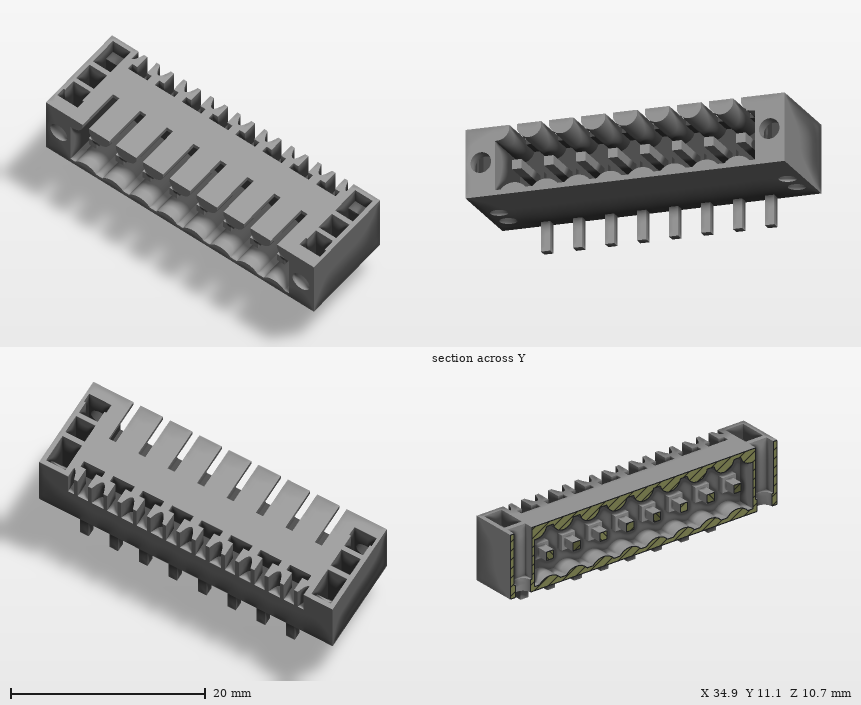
import cadquery as cq
import math


length = 34.9
depth = 11.05
height = 7.45

pin_count = 8
pin_row_span = 24.5
pitch = pin_row_span / (pin_count - 1)
pin_xs = [(i - (pin_count - 1) / 2) * pitch for i in range(pin_count)]

pin_thickness = 1.0
pin_axis_z = 3.5
pin_tip_y = 1.15
pin_rear_gap = 0.3
pin_rear_y = depth - pin_rear_gap
pin_drop = 3.2

cavity_half_width = 14.25
cavity_depth = 7.57
floor_z = 0.52
rib_width = 2.72
rib_height = 0.63
lobe_bottom_z = 5.85
ceiling_z = 6.9
slot_width = 0.85
slot_length = 5.05
collar_size = 1.75
collar_length = 0.7

end_lobe_x = pin_xs[-1] + pitch / 2
lobe_half_chord = (pitch - slot_width) / 2
lobe_drop = ceiling_z - lobe_bottom_z
lobe_radius = (lobe_half_chord**2 + lobe_drop**2) / (2 * lobe_drop)
lobe_axis_z = lobe_bottom_z + lobe_radius

rear_cut_depth = 2.95
t_stem_width = 1.22
t_stem_length = 1.68
t_head_width = 2.55
t_head_length = 0.75
notch_half_width = 0.7
notch_length = 1.2

end_axis_x = 15.77
front_hole_diameter = 2.25
front_hole_z = 3.7
well_floor_z = 1.45
well_width = 2.3
well_length = 2.2
well_hole_diameter = 1.9
well_ys = [5.5, 8.27]
ledge_z = 5.62
ledge_length = 1.15
nut_front_y = 1.45
nut_head_width = 2.65
nut_head_length = 1.05
nut_stem_width = 2.25
nut_stem_length = 1.4


def box_between(x_min, x_max, y_min, y_max, z_min, z_max):
    """Box given by its limits along each axis."""
    size = (x_max - x_min, y_max - y_min, z_max - z_min)
    return cq.Workplane("XY").box(*size, centered=False).translate((x_min, y_min, z_min))


def box_across(x, width, y_min, y_max, z_min, z_max):
    """Box centred on x, given by its limits along Y and Z."""
    return box_between(x - width / 2, x + width / 2, y_min, y_max, z_min, z_max)


def lobe_point(axis_x, offset):
    """Point on the underside of a lobe, at an X offset from its axis."""
    return (axis_x + offset, lobe_axis_z - math.sqrt(lobe_radius**2 - offset**2))


def make_cavity():
    """Mating cavity with a ribbed floor and a lobed roof."""
    outline = cq.Workplane("XZ").moveTo(-cavity_half_width, floor_z)
    for x in pin_xs:
        outline = outline.lineTo(x - rib_width / 2, floor_z)
        outline = outline.threePointArc((x, floor_z + rib_height), (x + rib_width / 2, floor_z))
    outline = outline.lineTo(cavity_half_width, floor_z)
    outline = outline.lineTo(cavity_half_width, lobe_bottom_z)
    outline = outline.lineTo(end_lobe_x, lobe_bottom_z)
    for x in reversed(pin_xs):
        right_lobe = x + pitch / 2
        left_lobe = x - pitch / 2
        outline = outline.threePointArc(
            lobe_point(right_lobe, -lobe_half_chord / 2), (x + slot_width / 2, ceiling_z)
        )
        outline = outline.lineTo(x - slot_width / 2, ceiling_z)
        outline = outline.threePointArc(
            lobe_point(left_lobe, lobe_half_chord / 2), (left_lobe, lobe_bottom_z)
        )
    outline = outline.lineTo(-cavity_half_width, lobe_bottom_z)
    return outline.close().extrude(-cavity_depth)


def make_roof_slot(x):
    """Slot through the cavity roof above a pin."""
    return box_across(x, slot_width, 0, slot_length, ceiling_z, height)


def make_collar(x):
    """Square collar around a pin, standing out from the rear wall of the cavity."""
    return box_across(
        x,
        collar_size,
        cavity_depth - collar_length,
        cavity_depth,
        pin_axis_z - collar_size / 2,
        pin_axis_z + collar_size / 2,
    )


def make_t_slot(x):
    """T-shaped slot in the rear edge, its stem open to the rear face."""
    bottom_z = height - rear_cut_depth
    stem_front_y = depth - t_stem_length
    head_front_y = stem_front_y - t_head_length
    stem = box_across(x, t_stem_width, stem_front_y, depth, bottom_z, height)
    head = box_across(x, t_head_width, head_front_y, stem_front_y, bottom_z, height)
    return stem.union(head)


def make_notch(x):
    """Parabolic notch in the rear face, clipped to the stretch between the end lobes."""
    notch = (
        cq.Workplane("XY")
        .moveTo(x - notch_half_width, depth)
        .bezier(
            [(x, depth - 2 * notch_length), (x + notch_half_width, depth)],
            includeCurrent=True,
        )
        .close()
        .extrude(rear_cut_depth)
        .translate((0, 0, height - rear_cut_depth))
    )
    return notch.intersect(box_between(-end_lobe_x, end_lobe_x, 0, depth, 0, height))


def make_end_cuts(x):
    """Screw wells, nut pocket and front hole of one end block."""
    nut_step_y = nut_front_y + nut_head_length
    nut_rear_y = nut_step_y + nut_stem_length
    cuts = box_across(x, nut_head_width, nut_front_y, nut_step_y, well_floor_z, height)
    cuts = cuts.union(box_across(x, nut_stem_width, nut_step_y, nut_rear_y, well_floor_z, height))
    front_hole = (
        cq.Workplane("XZ").center(x, front_hole_z).circle(front_hole_diameter / 2).extrude(-nut_step_y)
    )
    cuts = cuts.union(front_hole)
    for y in well_ys:
        well = box_across(
            x, well_width, y - well_length / 2, y + well_length / 2, well_floor_z, height
        )
        screw_hole = cq.Workplane("XY").center(x, y).circle(well_hole_diameter / 2).extrude(height)
        cuts = cuts.union(well).union(screw_hole)
    ledge_front_y = well_ys[-1] + well_length / 2
    ledge_recess = box_across(
        x, well_width, ledge_front_y, ledge_front_y + ledge_length, ledge_z, height
    )
    return cuts.union(ledge_recess)


def make_pin(x):
    """Pin running back from its tip, then bent straight down through the underside."""
    top_z = pin_axis_z + pin_thickness / 2
    arm = box_across(x, pin_thickness, pin_tip_y, pin_rear_y, top_z - pin_thickness, top_z)
    leg = box_across(x, pin_thickness, pin_rear_y - pin_thickness, pin_rear_y, -pin_drop, top_z)
    return arm.union(leg).clean()


def make_housing(pins):
    """Housing with all its openings, collars and a matching hole for each pin."""
    housing = box_between(-length / 2, length / 2, 0, depth, 0, height).cut(make_cavity())
    for x in pin_xs:
        housing = housing.cut(make_roof_slot(x)).union(make_collar(x)).cut(make_t_slot(x))
    for i in range(pin_count + 1):
        housing = housing.cut(make_notch(i * pitch - end_lobe_x))
    for x in (-end_axis_x, end_axis_x):
        housing = housing.cut(make_end_cuts(x))
    for pin in pins:
        housing = housing.cut(pin)
    return housing


pins = [make_pin(x) for x in pin_xs]
housing = make_housing(pins)

result = cq.Compound.makeCompound([housing.val(), *[pin.val() for pin in pins]])